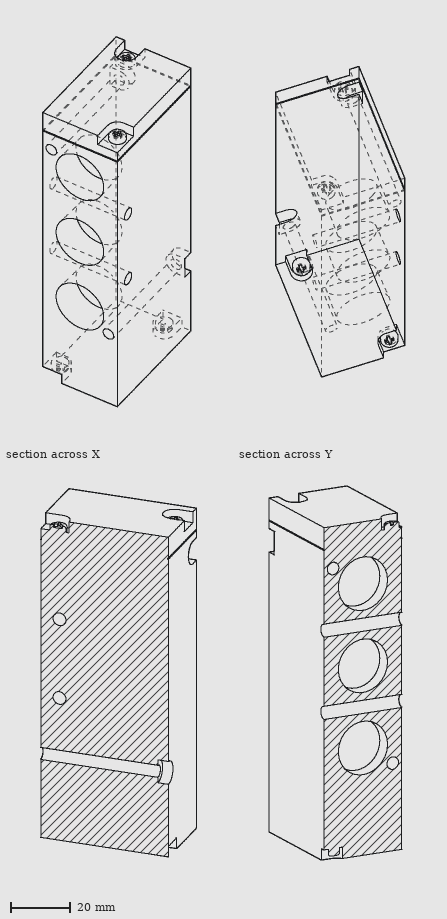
import cadquery as cq

WIDTH = 30.0
DEPTH = 46.4
HEIGHT = 118.0
FRONT_Y = -DEPTH / 2
BACK_Y = DEPTH / 2

FOOT_HEIGHT = 24.0
CAP_HEIGHT = 7.9
CAP_SETBACK = 0.1
CAP_FRONT_Y = FRONT_Y + CAP_SETBACK
BODY_MID_Z = (FOOT_HEIGHT + HEIGHT - CAP_HEIGHT) / 2

SEAM_HEIGHT = 0.2
SEAM_DEPTH = 0.2

PORT_MOUTH_DIAMETER = 19.1
PORT_FLOOR_DIAMETER = 18.4
PORT_DEPTH = 12.0
PORT_PITCH = 29.0

MOUNT_HOLE_DIAMETER = 4.2
SIDE_HOLE_DIAMETER = 4.5
MOUNT_X = 11.5
MOUNT_RISE = 36.0
SIDE_HOLE_FROM_FRONT = 6.8

SEAT_DIAMETER = 8.3
SEAT_DEPTH = 3.8

POCKET_DEPTH = 4.0
TOP_POCKET_RADIUS = 4.0
BOTTOM_POCKET_RADIUS = 3.8
TOP_CORNER_X = 11.1
BOTTOM_CORNER_X = -11.1
TOP_CORNER_FROM_FRONT = 6.1
BOTTOM_CORNER_FROM_FRONT = 5.0
BACK_SCREW_X = 7.5
BACK_SCREW_FROM_BACK = 5.2

HEAD_DIAMETER = 6.0
TOP_HEAD_HEIGHT = 2.1
BOTTOM_HEAD_HEIGHT = 2.6
HEAD_ROUNDING = 1.0
CROSS_LENGTH = 3.1
CROSS_WIDTH = 1.0
CROSS_DEPTH = 1.0


def box_between(low, high):
    """Box spanning two opposite corners."""
    size = [b - a for a, b in zip(low, high)]
    return cq.Workplane("XY").box(*size, centered=False).translate(low)


def plane_facing_back(x, y, z):
    """Work plane parallel to the front face, extruding along +Y."""
    return cq.Workplane(cq.Plane(origin=(x, y, z), xDir=(1, 0, 0), normal=(0, 1, 0)))


def front_cylinder(x, z, diameter, start_y, length):
    """Cylinder along +Y that starts at start_y."""
    return plane_facing_back(x, start_y, z).circle(diameter / 2).extrude(length)


def port(z):
    """Blind port narrowing from the mouth to a flat floor."""
    mouth = plane_facing_back(0, FRONT_Y, z).circle(PORT_MOUTH_DIAMETER / 2)
    return mouth.workplane(offset=PORT_DEPTH).circle(PORT_FLOOR_DIAMETER / 2).loft()


def mounting_hole(side):
    """Through hole along Y with a back seat open to the near side face (-1 left, +1 right)."""
    x = side * MOUNT_X
    z = BODY_MID_Z - side * MOUNT_RISE
    seat_y = BACK_Y - SEAT_DEPTH
    radius = SEAT_DIAMETER / 2
    edge_x = side * WIDTH / 2
    opening = box_between(
        (min(x, edge_x), seat_y, z - radius),
        (max(x, edge_x), BACK_Y, z + radius),
    )
    hole = front_cylinder(x, z, MOUNT_HOLE_DIAMETER, FRONT_Y, DEPTH)
    return hole.union(front_cylinder(x, z, SEAT_DIAMETER, seat_y, SEAT_DEPTH)).union(opening)


def side_hole(z):
    """Through hole along X."""
    plane = cq.Workplane("YZ", origin=(-WIDTH / 2, FRONT_Y + SIDE_HOLE_FROM_FRONT, z))
    return plane.circle(SIDE_HOLE_DIAMETER / 2).extrude(WIDTH)


def corner_pocket(x, y, radius):
    """Upward pocket from Z = 0 around a screw, open to the front face and the nearer side face."""
    edge_x = WIDTH / 2 if x > 0 else -WIDTH / 2
    inner_x = x - radius if x > 0 else x + radius
    round_end = cq.Workplane("XY").center(x, y).circle(radius).extrude(POCKET_DEPTH)
    to_front = box_between(
        (min(inner_x, edge_x), FRONT_Y, 0),
        (max(inner_x, edge_x), y, POCKET_DEPTH),
    )
    to_side = box_between(
        (min(x, edge_x), FRONT_Y, 0),
        (max(x, edge_x), y + radius, POCKET_DEPTH),
    )
    return round_end.union(to_front).union(to_side)


def back_pocket(x, y, radius):
    """Upward pocket from Z = 0 around a screw, open to the back face."""
    round_end = cq.Workplane("XY").center(x, y).circle(radius).extrude(POCKET_DEPTH)
    return round_end.union(box_between((x - radius, y, 0), (x + radius, BACK_Y, POCKET_DEPTH)))


def screw_head(height):
    """Screw head standing on Z = 0, with a rounded rim and a cross recess."""
    head = cq.Workplane("XY").circle(HEAD_DIAMETER / 2).extrude(height)
    head = head.faces(">Z").edges().fillet(HEAD_ROUNDING)
    recess_z = height - CROSS_DEPTH / 2
    for arm in ((CROSS_LENGTH, CROSS_WIDTH), (CROSS_WIDTH, CROSS_LENGTH)):
        head = head.cut(cq.Workplane("XY").box(*arm, CROSS_DEPTH).translate((0, 0, recess_z)))
    return head


block = box_between((-WIDTH / 2, FRONT_Y, 0), (WIDTH / 2, BACK_Y, HEIGHT))
block = block.cut(
    box_between((-WIDTH / 2, FRONT_Y, HEIGHT - CAP_HEIGHT), (WIDTH / 2, CAP_FRONT_Y, HEIGHT))
)

seam_plane = cq.Workplane("XY", origin=(0, 0, HEIGHT - CAP_HEIGHT - SEAM_HEIGHT))
seam = seam_plane.rect(WIDTH, DEPTH).rect(WIDTH - 2 * SEAM_DEPTH, DEPTH - 2 * SEAM_DEPTH)
block = block.cut(seam.extrude(SEAM_HEIGHT))

for step in (-1, 0, 1):
    block = block.cut(port(BODY_MID_Z + step * PORT_PITCH))
for side in (-1, 1):
    block = block.cut(side_hole(BODY_MID_Z + side * PORT_PITCH / 2))
    block = block.cut(mounting_hole(side))

back_screw_y = BACK_Y - BACK_SCREW_FROM_BACK
cap_floor_z = HEIGHT - POCKET_DEPTH
cap_corner = (TOP_CORNER_X, CAP_FRONT_Y + TOP_CORNER_FROM_FRONT)
cap_back = (-BACK_SCREW_X, back_screw_y)
block = block.cut(corner_pocket(*cap_corner, TOP_POCKET_RADIUS).translate((0, 0, cap_floor_z)))
block = block.cut(back_pocket(*cap_back, TOP_POCKET_RADIUS).translate((0, 0, cap_floor_z)))
for x, y in (cap_corner, cap_back):
    block = block.union(screw_head(TOP_HEAD_HEIGHT).translate((x, y, cap_floor_z)))

foot_corner = (BOTTOM_CORNER_X, FRONT_Y + BOTTOM_CORNER_FROM_FRONT)
foot_back = (BACK_SCREW_X, back_screw_y)
block = block.cut(corner_pocket(*foot_corner, BOTTOM_POCKET_RADIUS))
block = block.cut(back_pocket(*foot_back, BOTTOM_POCKET_RADIUS))
foot_head = screw_head(BOTTOM_HEAD_HEIGHT).rotate((0, 0, 0), (1, 0, 0), 180)
for x, y in (foot_corner, foot_back):
    block = block.union(foot_head.translate((x, y, POCKET_DEPTH)))

result = block